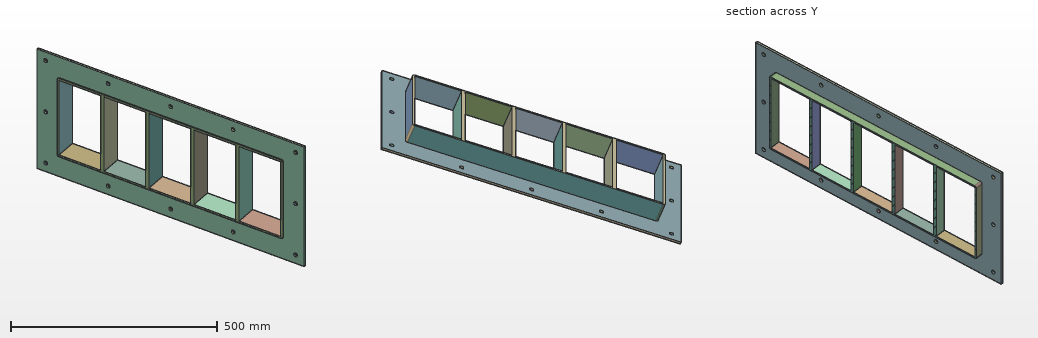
import cadquery as cq

window_count = 5
window_width = 120.5
window_height = 218.0
partition_thickness = 10.0

wall_thickness = 6.0
frame_depth = 60.0
corner_radius = 6.0
window_pitch = window_width + partition_thickness
frame_width = window_count * window_width + (window_count - 1) * partition_thickness + 2 * wall_thickness
frame_height = window_height + 2 * wall_thickness

flange_margin = 60.0
flange_thickness = 6.0
flange_setback = 3.0
flange_width = frame_width + 2 * flange_margin
flange_height = frame_height + 2 * flange_margin

hole_diameter = 10.5
hole_edge_distance = 25.0
hole_columns = 5
hole_rows = 3
hole_pitch_x = (flange_width - 2 * hole_edge_distance) / (hole_columns - 1)
hole_pitch_z = (flange_height - 2 * hole_edge_distance) / (hole_rows - 1)


def plane_at(depth):
    """XZ work plane at the given depth behind the frame's front face (y = 0), facing +Y.

    Its local x runs along +X and its local y along -Z; the part is symmetric about Z = 0.
    """
    return cq.Workplane(cq.Plane(origin=(0, depth, 0), xDir=(1, 0, 0), normal=(0, 1, 0)))


def make_frame():
    block = plane_at(0).rect(frame_width, frame_height).extrude(frame_depth)
    return block.edges("|Y").fillet(corner_radius)


def make_flange():
    return plane_at(flange_setback).rect(flange_width, flange_height).extrude(flange_thickness)


def make_windows():
    return (
        plane_at(0)
        .rarray(window_pitch, 1, window_count, 1)
        .rect(window_width, window_height)
        .extrude(frame_depth)
    )


def border_hole_centers():
    """Grid points on the outer rows and columns only."""
    centers = []
    for column in range(hole_columns):
        for row in range(hole_rows):
            on_border = column in (0, hole_columns - 1) or row in (0, hole_rows - 1)
            if on_border:
                x = (column - (hole_columns - 1) / 2) * hole_pitch_x
                z = (row - (hole_rows - 1) / 2) * hole_pitch_z
                centers.append((x, z))
    return centers


def make_bolt_holes():
    return (
        plane_at(flange_setback)
        .pushPoints(border_hole_centers())
        .circle(hole_diameter / 2)
        .extrude(flange_thickness)
    )


result = make_frame().union(make_flange()).cut(make_windows()).cut(make_bolt_holes())